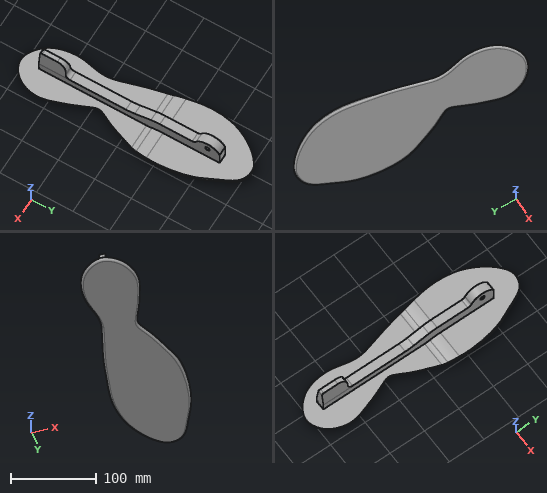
import cadquery as cq
import math

SOLE_THICK = 6.5
SOLE_THIN = 3.7
SOLE_EDGE_RADIUS = 2.8
STEP_TOP_Y = 39.0
STEP_BEND_Y = 24.0
STEP_FOOT_Y = 16.5

CLEAR_X = 124
CLEAR_Y = 186.2

RIB_X = 2.8
RIB_WIDTH = 12.7
RIB_FRONT_Y = 117.0
RIB_BACK_Y = -130.7
RIB_HIGH_Z = 24.5
RIB_LOW_Z = 16.0
RAMP_TOP_Y = 28.5
RAMP_FOOT_Y = -5.5
RAMP_BLEND = 51.2

LUG_TOP_Z = 37.2
LUG_SHOULDER_Z = 26.0
LUG_HALF_LENGTH = 16.8
LUG_Y = RIB_FRONT_Y - LUG_HALF_LENGTH
LUG_BLEND = 5.5
PIN_DIAMETER = 6.2
PIN_Z = 25.8

HEEL_TOP_Z = 38.2
HEEL_FRONT_Y = -94.5
HEEL_TOP_WIDTH = 6.5
HEEL_FRONT_RADIUS = 13.0
HEEL_BACK_RADIUS = 2.8
HEEL_FOOT_RADIUS = 6.2

SOLE_OUTLINE = [
    (0.5, 155.2), (14.5, 150.2), (28.5, 127.5), (38.8, 105.2), (46.2, 75.0), (48.0, 45.0),
    (45.3, 22.7), (37.5, 0), (28.2, -22.7), (21.7, -35.0), (19.5, -42.8), (21.7, -51.5), (28.2, -66.5),
    (36.5, -89.5), (42.0, -111.7), (39.5, -128.8), (24.8, -149.5), (8.5, -155.2),
    (-6.5, -149.5), (-20.8, -134.7), (-28.2, -112.5), (-28.2, -90), (-23.5, -67.7), (-23.0, -54.3),
    (-26.5, -37.5), (-33.0, -15.0), (-38.5, 7.5), (-44.0, 37.5), (-47.8, 60.8), (-48.0, 83.0),
    (-44.0, 105.2), (-33.8, 127.5), (-14.5, 149.5),
]


def make_sole():
    """Foot-shaped plate with a rounded bottom edge, thinned behind the ball of the foot by a smooth step."""
    blank = cq.Workplane("XY").spline(SOLE_OUTLINE, periodic=True).close().extrude(SOLE_THICK)
    blank = blank.faces("<Z").edges().fillet(SOLE_EDGE_RADIUS)
    step_share = (STEP_TOP_Y - STEP_BEND_Y) / (STEP_TOP_Y - STEP_FOOT_Y)
    bend_z = SOLE_THICK - step_share * (SOLE_THICK - SOLE_THIN)
    side = (
        cq.Workplane("YZ", origin=(-CLEAR_X, 0, 0))
        .moveTo(-CLEAR_Y, 0)
        .lineTo(CLEAR_Y, 0)
        .lineTo(CLEAR_Y, SOLE_THICK)
        .lineTo(STEP_TOP_Y, SOLE_THICK)
        .tangentArcPoint((STEP_BEND_Y, bend_z), relative=False)
        .tangentArcPoint((STEP_FOOT_Y, SOLE_THIN), relative=False)
        .lineTo(-CLEAR_Y, SOLE_THIN)
        .close()
        .extrude(2 * CLEAR_X)
    )
    return blank.intersect(side)


def side_plane():
    return cq.Workplane("YZ", origin=(RIB_X, 0, 0))


def edges_at(body, y, z):
    """Crosswise edges of the body at one place in its side profile."""
    reach = 0.03
    box = cq.selectors.BoxSelector(
        (RIB_X - RIB_WIDTH, y - reach, z - reach), (RIB_X + RIB_WIDTH, y + reach, z + reach)
    )
    return body.edges(box)


def make_rib():
    """Upright rib with a ramp at mid-length and a round lug at the toe."""
    lug_rise = LUG_TOP_Z - LUG_SHOULDER_Z
    lug_radius = (LUG_HALF_LENGTH**2 + lug_rise**2) / (2 * lug_rise)
    lug_center_z = LUG_TOP_Z - lug_radius
    lug_back_y = LUG_Y - math.sqrt(lug_radius**2 - (RIB_HIGH_Z - lug_center_z) ** 2)
    rib = (
        side_plane()
        .moveTo(RIB_BACK_Y, 0)
        .lineTo(RIB_FRONT_Y, 0)
        .lineTo(RIB_FRONT_Y, LUG_SHOULDER_Z)
        .threePointArc((LUG_Y, LUG_TOP_Z), (lug_back_y, RIB_HIGH_Z))
        .lineTo(RAMP_TOP_Y, RIB_HIGH_Z)
        .lineTo(RAMP_FOOT_Y, RIB_LOW_Z)
        .lineTo(RIB_BACK_Y, RIB_LOW_Z)
        .close()
        .extrude(RIB_WIDTH / 2, both=True)
    )
    rib = edges_at(rib, RAMP_TOP_Y, RIB_HIGH_Z).fillet(RAMP_BLEND)
    rib = edges_at(rib, RAMP_FOOT_Y, RIB_LOW_Z).fillet(RAMP_BLEND)
    return edges_at(rib, lug_back_y, RIB_HIGH_Z).fillet(LUG_BLEND)


def make_heel_stop():
    """Rounded stop on the back end of the rib, with both sides sloping inwards."""
    foot_y = HEEL_FRONT_Y + HEEL_FOOT_RADIUS
    arc_mid = HEEL_FOOT_RADIUS * (1 - math.sqrt(0.5))
    stop = (
        side_plane()
        .moveTo(RIB_BACK_Y, RIB_LOW_Z)
        .lineTo(foot_y, RIB_LOW_Z)
        .threePointArc(
            (HEEL_FRONT_Y + arc_mid, RIB_LOW_Z + arc_mid),
            (HEEL_FRONT_Y, RIB_LOW_Z + HEEL_FOOT_RADIUS),
        )
        .lineTo(HEEL_FRONT_Y, HEEL_TOP_Z)
        .lineTo(RIB_BACK_Y, HEEL_TOP_Z)
        .close()
        .extrude(RIB_WIDTH / 2, both=True)
    )
    stop = edges_at(stop, HEEL_FRONT_Y, HEEL_TOP_Z).fillet(HEEL_FRONT_RADIUS)
    stop = edges_at(stop, RIB_BACK_Y, HEEL_TOP_Z).fillet(HEEL_BACK_RADIUS)
    taper = (
        cq.Workplane("XZ", origin=(RIB_X, foot_y, 0))
        .moveTo(-RIB_WIDTH / 2, RIB_LOW_Z)
        .lineTo(RIB_WIDTH / 2, RIB_LOW_Z)
        .lineTo(HEEL_TOP_WIDTH / 2, HEEL_TOP_Z)
        .lineTo(-HEEL_TOP_WIDTH / 2, HEEL_TOP_Z)
        .close()
        .extrude(foot_y - RIB_BACK_Y)
    )
    return stop.intersect(taper)


pin_hole = (
    side_plane()
    .center(LUG_Y, PIN_Z)
    .circle(PIN_DIAMETER / 2)
    .extrude(RIB_WIDTH, both=True)
)

result = make_sole().union(make_rib()).union(make_heel_stop()).cut(pin_hole)